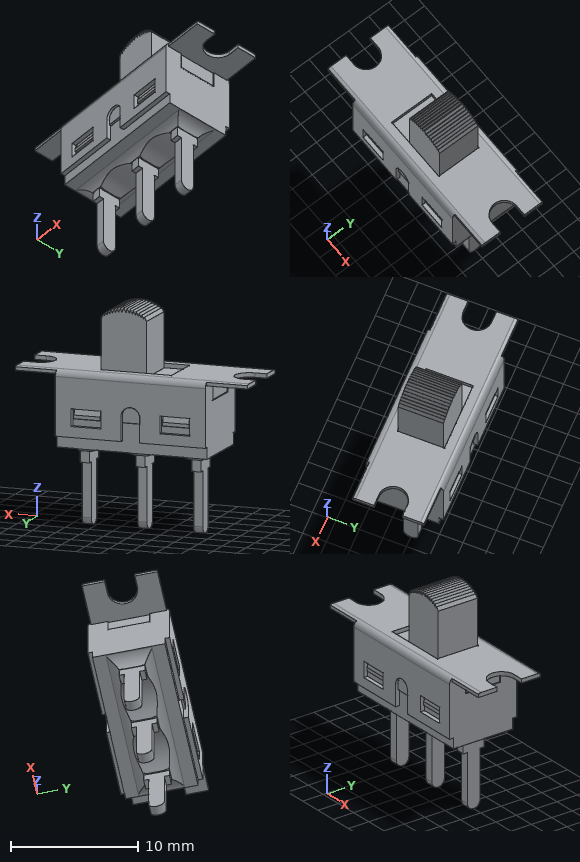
import cadquery as cq
import math


plate_length = 19.56
plate_width = 6.08
sheet = 0.37
body_length = 12.65
cover_width = 6.6
cover_depth = 5.35
bend_radius = 0.55
ear_slot_diameter = 2.4
ear_slot_depth = 2.21

base_width = 5.83
base_depth = 6.32
end_recess_width = 3.36
end_recess_bottom = 1.82
end_recess_depth = 0.1

window_offset = 3.74
window_length = 2.5
window_top = 3.05
window_height = 1.43
latch_length = 2.23
ramp_bottom = 3.58
latch_bottom = 3.9
latch_height = 0.18
notch_width = 1.58
notch_top = 2.58
key_width = 1.49

opening_length = 5.97
opening_width = 4.01
slider_length = 3.83
slider_width = 3.85
slider_top = 5.09
slider_shoulder = 4.17
tooth_count = 15
tooth_pitch_angle = 5.5
tip_radius = 2.78
root_radius = 3.62
root_drop = 0.33
tooth_undercut = 0.068

pin_pitch = 4.7
pin_thickness = 0.78
pin_width = 1.25
pin_shoulder_width = 2.07
pin_shoulder_bottom = 7.82
pin_bottom = 12.95
seal_width = 4.58
seal_shoulder_width = 2.11
seal_shoulder_bottom = 6.89
seal_bottom = 6.92
seal_pin_bottom = 6.96
seal_sag = 6.51
seal_flare_depth = 6.47
seal_end_flare = 0.68
seal_side_flare = 1.45

pin_positions = [-pin_pitch, 0.0, pin_pitch]


def box(length, width, top, bottom):
    """Box centred on X and Y, from depth `top` to depth `bottom` below the plate."""
    return cq.Workplane("XY").workplane(offset=-bottom).rect(length, width).extrude(bottom - top)


def make_cover():
    """Folded cover joined to the flat mounting plate, with an open slot in each ear."""
    folded = box(body_length, cover_width, 0, cover_depth)
    plate = box(plate_length, cover_width, 0, cover_depth)
    rounded_plate = plate.edges("|X and >Z").fillet(bend_radius)
    folded = folded.intersect(rounded_plate)
    plate = rounded_plate.intersect(box(plate_length, plate_width, 0, sheet))
    ear_slots = (
        cq.Workplane("XY")
        .workplane(offset=-sheet)
        .pushPoints([(-plate_length / 2, 0), (plate_length / 2, 0)])
        .slot2D(2 * ear_slot_depth, ear_slot_diameter)
        .extrude(sheet)
    )
    return folded.union(plate.cut(ear_slots))


def notch_prism(start, depth):
    """Round-topped middle notch as a prism running from Y = start toward +Y."""
    half = notch_width / 2
    return (
        cq.Workplane("XZ", origin=(0, start, 0))
        .moveTo(-half, -cover_depth)
        .lineTo(-half, -notch_top - half)
        .threePointArc((0, -notch_top), (half, -notch_top - half))
        .lineTo(half, -cover_depth)
        .close()
        .extrude(-depth)
    )


def make_side_openings():
    """Windows and middle notch cut through the cover wall on the -Y side."""
    wall = (cover_width - base_width) / 2
    openings = notch_prism(-cover_width / 2, wall)
    for side in (-1, 1):
        window = box(window_length, wall, window_top, window_top + window_height)
        openings = openings.union(window.translate((side * window_offset, -base_width / 2 - wall / 2, 0)))
    return openings


def make_side_catches():
    """Latch ramps and middle key standing out from the base on the -Y side."""
    face = -base_width / 2
    key = notch_prism(face - latch_height, latch_height)
    catches = key.intersect(box(key_width, cover_width, notch_top, latch_bottom))
    for side in (-1, 1):
        latch = (
            cq.Workplane("YZ", origin=(side * window_offset - latch_length / 2, 0, 0))
            .moveTo(face, -window_top)
            .lineTo(face - latch_height, -ramp_bottom)
            .lineTo(face - latch_height, -latch_bottom)
            .lineTo(face, -latch_bottom)
            .close()
            .extrude(latch_length)
        )
        catches = catches.union(latch)
    return catches


def make_end_recesses():
    """Shallow pockets in both body ends, just under the mounting plate."""
    pocket = box(end_recess_depth, end_recess_width, sheet, end_recess_bottom)
    offset = (body_length - end_recess_depth) / 2
    return pocket.translate((-offset, 0, 0)).union(pocket.translate((offset, 0, 0)))


def arc_height(top, radius, x):
    """Height of an upward arc with its crown at `top`, at distance x from its middle."""
    return top - radius + math.sqrt(radius**2 - x**2)


def make_slider():
    """Slider parked at the +X end of its opening, with a toothed crowned grip."""
    half = slider_length / 2
    middle_tooth = tooth_count // 2
    outline = [(-half, -sheet), (-half, slider_shoulder)]
    for index in range(-middle_tooth, middle_tooth + 1):
        tip_x = tip_radius * math.sin(math.radians(index * tooth_pitch_angle))
        tip = (tip_x, arc_height(slider_top, tip_radius, tip_x))
        root_x = tip_x - math.copysign(tooth_undercut, index)
        root = (root_x, arc_height(slider_top - root_drop, root_radius, root_x))
        if index < 0:
            outline += [tip, root]
        elif index == 0:
            outline += [tip]
        else:
            outline += [root, tip]
    outline += [(half, slider_shoulder), (half, -sheet)]
    slider = cq.Workplane("XZ").polyline(outline).close().extrude(slider_width / 2, both=True)
    return slider.translate(((opening_length - slider_length) / 2, 0, 0))


def make_seal():
    """Sealing compound: sags between the pins and flares out to the base underside."""
    root = base_depth - sheet
    body_end = body_length / 2
    pin_half = pin_thickness / 2
    shoulder_half = seal_shoulder_width / 2
    tip_half = pin_width / 2
    first_pin_side = -pin_pitch - pin_half
    along = (
        cq.Workplane("XZ")
        .moveTo(-body_end, -root)
        .lineTo(-body_end, -base_depth)
        .threePointArc((-body_end + seal_end_flare, -seal_flare_depth), (first_pin_side, -seal_pin_bottom))
        .lineTo(-pin_pitch + pin_half, -seal_pin_bottom)
    )
    for pin_x in pin_positions[1:]:
        along = along.threePointArc((pin_x - pin_pitch / 2, -seal_sag), (pin_x - pin_half, -seal_pin_bottom))
        along = along.lineTo(pin_x + pin_half, -seal_pin_bottom)
    along = along.threePointArc((body_end - seal_end_flare, -seal_flare_depth), (body_end, -base_depth))
    along = along.lineTo(body_end, -root).close().extrude(base_width / 2, both=True)

    across = (
        cq.Workplane("YZ")
        .moveTo(-seal_width / 2, -root)
        .lineTo(-seal_width / 2, -base_depth)
        .threePointArc((-seal_side_flare, -seal_flare_depth), (-shoulder_half, -seal_shoulder_bottom))
        .lineTo(-tip_half, -seal_bottom)
        .lineTo(tip_half, -seal_bottom)
        .lineTo(shoulder_half, -seal_shoulder_bottom)
        .threePointArc((seal_side_flare, -seal_flare_depth), (seal_width / 2, -base_depth))
        .lineTo(seal_width / 2, -root)
        .close()
        .extrude(plate_length / 2, both=True)
    )
    return along.intersect(across)


def make_pin(x):
    """Flat terminal with a wide shoulder and a fully rounded tip."""
    half = pin_width / 2
    shoulder = box(pin_thickness, pin_shoulder_width, base_depth - sheet, pin_shoulder_bottom)
    blade = (
        cq.Workplane("YZ")
        .moveTo(-half, -base_depth)
        .lineTo(-half, -pin_bottom + half)
        .threePointArc((0, -pin_bottom), (half, -pin_bottom + half))
        .lineTo(half, -base_depth)
        .close()
        .extrude(pin_thickness / 2, both=True)
    )
    return shoulder.union(blade).translate((x, 0, 0))


openings = make_side_openings()
catches = make_side_catches()
result = make_cover()
result = result.cut(openings).cut(openings.mirror("XZ"))
result = result.union(box(body_length, base_width, sheet, base_depth))
result = result.union(catches).union(catches.mirror("XZ"))
result = result.cut(make_end_recesses())
result = result.cut(box(opening_length, opening_width, 0, sheet))
result = result.union(make_slider())
result = result.union(make_seal())
for pin_x in pin_positions:
    result = result.union(make_pin(pin_x))